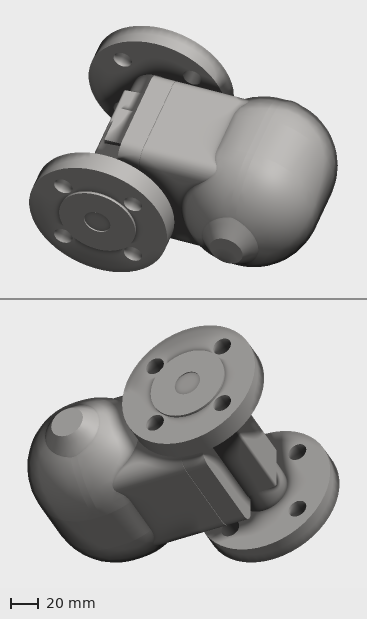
import cadquery as cq

face_to_face = 150.0
flange_diameter = 105.0
flange_thickness = 16.0
raised_face_diameter = 58.0
raised_face_height = 2.0
bolt_circle_diameter = 75.0
bolt_hole_diameter = 14.0
bolt_count = 4
first_bolt_angle = 45.0
bore_diameter = 20.0
bore_depth = 1.0
pipe_diameter = 38.0

block_length = 75.0
block_front_x = -pipe_diameter / 2
block_front_height = 34.6
block_back_height = 39.0
block_edge_radius = 2.0

label_start_x = -15.0
label_end_x = 1.0
label_length = 32.5
label_top_z = 21.6

neck_width = 85.2
neck_corner_radius = 12.0
cover_start_x = 3.8
groove_x = 20.5
groove_width = 0.6
groove_depth = 0.5

chamber_radius = 48.5
chamber_straight_length = 35.2
chamber_band_width = 5.3
chamber_end_x = 148.0
chamber_right_x = chamber_end_x - chamber_radius
chamber_left_x = chamber_right_x - chamber_band_width
chamber_middle_x = (chamber_left_x + chamber_right_x) / 2

boss_end_y = 71.2
boss_end_radius = 12.5
boss_height = 20.0

flange_outer_y = face_to_face / 2 - raised_face_height
flange_inner_y = flange_outer_y - flange_thickness


def cylinder_along_y(diameter, start_y, end_y):
    """Cylinder on the pipe axis; the XZ workplane faces -Y, so a negative extrusion runs towards +Y."""
    base = cq.Workplane("XZ", origin=(0, start_y, 0))
    return base.circle(diameter / 2).extrude(start_y - end_y)


def make_flange():
    """Flange at the +Y end, with raised face, bolt holes and a blind bore."""
    end_y = face_to_face / 2
    flange = cylinder_along_y(flange_diameter, flange_inner_y, flange_outer_y)
    flange = flange.union(cylinder_along_y(raised_face_diameter, flange_outer_y, end_y))
    flange = flange.cut(cylinder_along_y(bore_diameter, end_y - bore_depth, end_y))
    bolt_holes = (
        cq.Workplane("XZ", origin=(0, flange_inner_y, 0))
        .polarArray(bolt_circle_diameter / 2, first_bolt_angle, 360, bolt_count)
        .circle(bolt_hole_diameter / 2)
        .extrude(-flange_thickness)
    )
    return flange.cut(bolt_holes)


def make_block():
    """Block whose height grows from its front face to the cover."""
    front_z = block_front_height / 2
    back_z = block_back_height / 2
    outline = [
        (block_front_x, -front_z),
        (cover_start_x, -back_z),
        (cover_start_x, back_z),
        (block_front_x, front_z),
    ]
    block = (
        cq.Workplane("XZ", origin=(0, block_length / 2, 0))
        .polyline(outline)
        .close()
        .extrude(block_length)
    )
    return block.edges("|Y and <X").fillet(block_edge_radius)


def make_label():
    """Flat-topped plate whose lower part is buried in the block."""
    width = label_end_x - label_start_x
    plate = cq.Workplane("XY").box(width, label_length, label_top_z, centered=(False, True, False))
    return plate.translate((label_start_x, 0, 0))


def square_bar(width, corner_radius, start_x, end_x):
    """Square bar along X with rounded long edges."""
    bar = cq.Workplane("YZ", origin=(start_x, 0, 0)).rect(width, width).extrude(end_x - start_x)
    return bar.edges("|X").fillet(corner_radius)


def make_neck():
    """Cover and neck as one bar ending inside the chamber, with the gasket groove cut round it."""
    neck = square_bar(neck_width, neck_corner_radius, cover_start_x, chamber_left_x)
    groove_start = groove_x - groove_width / 2
    groove_end = groove_x + groove_width / 2
    core_width = neck_width - 2 * groove_depth
    core = square_bar(core_width, neck_corner_radius - groove_depth, groove_start, groove_end)
    ring = square_bar(neck_width, neck_corner_radius, groove_start, groove_end).cut(core)
    return neck.cut(ring)


def make_chamber():
    """Float chamber: two overlapping capsules blended by a straight band."""
    straight = chamber_straight_length
    size_z = 2 * chamber_radius
    tip_to_tip = straight + size_z
    band = (
        cq.Workplane("YZ", origin=(chamber_left_x, 0, 0))
        .slot2D(tip_to_tip, size_z)
        .extrude(chamber_band_width)
    )
    half_straight = straight / 2
    half_outline = (
        cq.Workplane("YZ")
        .moveTo(-half_straight - chamber_radius, 0)
        .radiusArc((-half_straight, chamber_radius), chamber_radius)
        .lineTo(half_straight, chamber_radius)
        .radiusArc((half_straight + chamber_radius, 0), chamber_radius)
        .close()
    )
    capsule = half_outline.revolve(360, (0, 0, 0), (1, 0, 0))
    left_capsule = capsule.translate((chamber_left_x, 0, 0))
    right_capsule = capsule.translate((chamber_right_x, 0, 0))
    return band.union(left_capsule).union(right_capsule)


def make_boss():
    """Conical boss at the +Y end of the chamber; its wide end is buried in the chamber."""
    base_y = boss_end_y - boss_height
    cone = cq.Solid.makeCone(
        boss_end_radius + boss_height,
        boss_end_radius,
        boss_height,
        pnt=cq.Vector(chamber_middle_x, base_y, 0),
        dir=cq.Vector(0, 1, 0),
    )
    return cq.Workplane(obj=cone)


result = cylinder_along_y(pipe_diameter, -flange_inner_y, flange_inner_y)
result = result.union(make_block()).union(make_label())
result = result.union(make_neck()).union(make_chamber())
for end_feature in (make_flange(), make_boss()):
    result = result.union(end_feature).union(end_feature.mirror("XZ"))